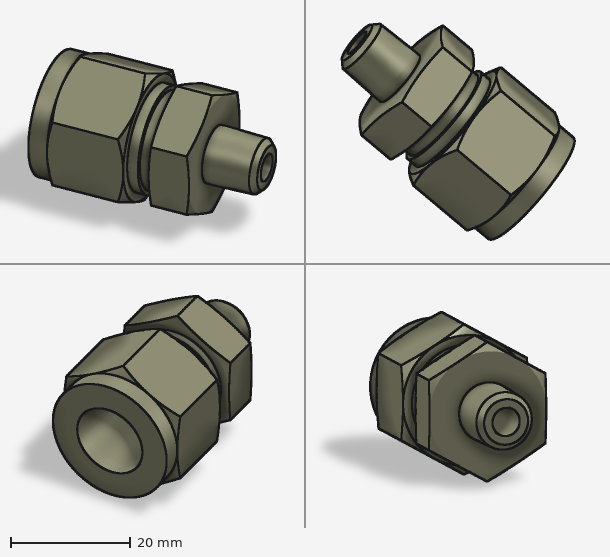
import cadquery as cq
import math

nut_start = 3.45
nut_end = 17.5
ring_end = 19.45
body_hex_start = 21.8
body_hex_end = 29.22
taper_start = 30.75
tip_chamfer_start = 37.8
total_length = 38.85

nut_across_flats = 22.23
collar_diameter = nut_across_flats
ring_diameter = 19.08
neck_diameter = 17.5
body_across_flats = 20.65
thread_diameter = 10.2
thread_tip_diameter = 9.8
tip_face_diameter = 7.77

nut_chamfer_angle = 30
body_chamfer_angle = 15

tube_bore_diameter = 12.7
tube_bore_depth = body_hex_start
flow_bore_diameter = 4.8


def cylinder(start, end, diameter):
    """Solid cylinder along X between two stations."""
    return cq.Workplane("YZ").workplane(offset=start).circle(diameter / 2).extrude(end - start)


def chamfered_hexagon(start, end, across_flats, chamfer_angle):
    """Hexagonal prism along X with corners at +/-Z, turned down conically at both ends."""
    flat_radius = across_flats / 2
    corner_radius = flat_radius / math.cos(math.radians(30))
    inset = (corner_radius - flat_radius) * math.tan(math.radians(chamfer_angle))
    prism = (
        cq.Workplane("YZ")
        .workplane(offset=start)
        .polygon(6, 2 * corner_radius)
        .extrude(end - start)
        .rotate((0, 0, 0), (1, 0, 0), 90)
    )
    turned_envelope = (
        cq.Workplane("XY")
        .moveTo(start, 0)
        .lineTo(start, flat_radius)
        .lineTo(start + inset, corner_radius)
        .lineTo(end - inset, corner_radius)
        .lineTo(end, flat_radius)
        .lineTo(end, 0)
        .close()
        .revolve(360, (0, 0, 0), (1, 0, 0))
    )
    return prism.intersect(turned_envelope)


def threaded_end():
    """Short straight shank, slightly tapered thread and chamfered tip."""
    return (
        cq.Workplane("XY")
        .moveTo(body_hex_end, 0)
        .lineTo(body_hex_end, thread_diameter / 2)
        .lineTo(taper_start, thread_diameter / 2)
        .lineTo(tip_chamfer_start, thread_tip_diameter / 2)
        .lineTo(total_length, tip_face_diameter / 2)
        .lineTo(total_length, 0)
        .close()
        .revolve(360, (0, 0, 0), (1, 0, 0))
    )


nut = chamfered_hexagon(nut_start, nut_end, nut_across_flats, nut_chamfer_angle)
nut = nut.union(cylinder(0, nut_start, collar_diameter))

body = cylinder(nut_end, ring_end, ring_diameter)
body = body.union(cylinder(ring_end, body_hex_start, neck_diameter))
body = body.union(
    chamfered_hexagon(body_hex_start, body_hex_end, body_across_flats, body_chamfer_angle)
)
body = body.union(threaded_end())

result = (
    nut.union(body)
    .cut(cylinder(0, tube_bore_depth, tube_bore_diameter))
    .cut(cylinder(0, total_length, flow_bore_diameter))
)